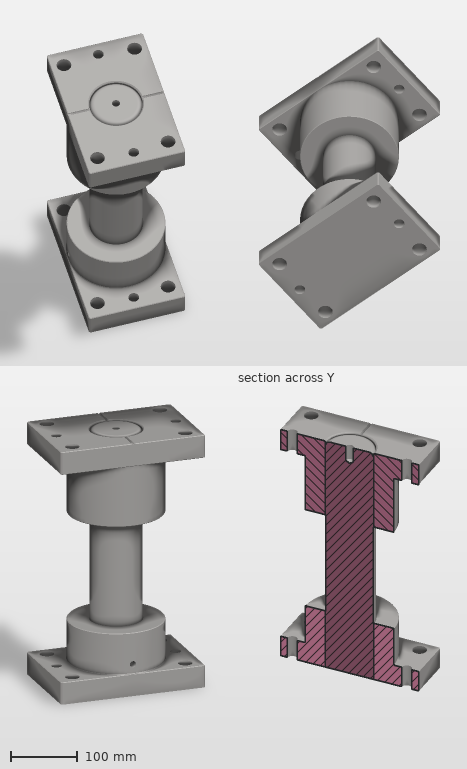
import cadquery as cq
import math

PLATE_LENGTH = 230.0
PLATE_WIDTH = 150.0
BASE_PLATE_THICKNESS = 35.0
TOP_PLATE_THICKNESS = 36.0
EDGE_CHAMFER = 1.0
CORNER_CHAMFER = 2.0
TOTAL_HEIGHT = 400.0
BEVEL_ANGLE = 45.0

BOLT_DIAMETER = 22.0
BOLT_SPACING_X = 180.0
BOLT_SPACING_Y = 110.0
DOWEL_DIAMETER = 16.0
DOWEL_SPACING = 190.0

BOSS_DIAMETER = 148.0
BASE_BOSS_HEIGHT = 65.0
BUSHING_BOSS_HEIGHT = 95.0
BOSS_CHAMFER = 1.0
FOOT_SIZE = 1.0

COLUMN_DIAMETER = 80.0
COLUMN_TOP_FILLET = 8.0
BUSHING_BORE_CHAMFER = 2.0
BASE_BORE_CHAMFER = 1.0
CENTRE_HOLE_DIAMETER = 12.0
CENTRE_HOLE_DEPTH = 25.0
DRILL_POINT_ANGLE = 118.0

SIDE_HOLE_DIAMETER = 10.0
SIDE_HOLE_HEIGHT = 50.0

GROOVE_WIDTH = 4.0


def drilled_plate(bottom_z, thickness, chamfered_faces):
    """Flange plate with chamfered edges, four bolt holes and two dowel holes."""
    plate = (
        cq.Workplane("XY", origin=(0, 0, bottom_z))
        .rect(PLATE_LENGTH, PLATE_WIDTH)
        .extrude(thickness)
        .edges("|Z")
        .chamfer(CORNER_CHAMFER)
        .faces(chamfered_faces)
        .edges()
        .chamfer(EDGE_CHAMFER)
    )
    bolt_holes = (
        cq.Workplane("XY", origin=(0, 0, bottom_z))
        .rect(BOLT_SPACING_X, BOLT_SPACING_Y, forConstruction=True)
        .vertices()
        .circle(BOLT_DIAMETER / 2)
        .extrude(thickness)
    )
    dowel_holes = (
        cq.Workplane("XY", origin=(0, 0, bottom_z))
        .pushPoints([(-DOWEL_SPACING / 2, 0), (DOWEL_SPACING / 2, 0)])
        .circle(DOWEL_DIAMETER / 2)
        .extrude(thickness)
    )
    return plate.cut(bolt_holes).cut(dowel_holes)


def cylinder(diameter, bottom_z, height):
    """Vertical cylinder on the column axis."""
    return cq.Workplane("XY", origin=(0, 0, bottom_z)).circle(diameter / 2).extrude(height)


def chamfer_bore_rim(body, top_z, size):
    """Bevel the mouth of the column bore in a body whose top face is at top_z."""
    cone = (
        cq.Workplane("XY", origin=(0, 0, top_z))
        .circle(COLUMN_DIAMETER / 2 + size)
        .extrude(-size, taper=BEVEL_ANGLE)
    )
    return body.cut(cone)


def make_base():
    """Bottom plate with a boss, a bore for the column and a cross hole at the front."""
    height = BASE_PLATE_THICKNESS + BASE_BOSS_HEIGHT
    boss = cylinder(BOSS_DIAMETER, BASE_PLATE_THICKNESS, BASE_BOSS_HEIGHT)
    boss = boss.faces(">Z").edges().chamfer(BOSS_CHAMFER)
    foot = (
        cq.Workplane("XY", origin=(0, 0, BASE_PLATE_THICKNESS))
        .circle(BOSS_DIAMETER / 2 + FOOT_SIZE)
        .extrude(FOOT_SIZE, taper=BEVEL_ANGLE)
    )
    foot_land = cylinder(
        BOSS_DIAMETER + 2 * FOOT_SIZE, BASE_PLATE_THICKNESS - EDGE_CHAMFER, EDGE_CHAMFER
    )
    side_hole = (
        cq.Workplane("XZ", origin=(0, 0, SIDE_HOLE_HEIGHT))
        .circle(SIDE_HOLE_DIAMETER / 2)
        .extrude(BOSS_DIAMETER / 2)
    )
    bore = cylinder(COLUMN_DIAMETER, 0, height)
    base = drilled_plate(0, BASE_PLATE_THICKNESS, ">Z").union(foot_land).union(foot).union(boss).cut(bore)
    base = chamfer_bore_rim(base, height, BASE_BORE_CHAMFER)
    return base.cut(side_hole)


def make_bushing():
    """Top plate with a hanging boss, a chamfered bore and a vent groove."""
    plate_z = TOTAL_HEIGHT - TOP_PLATE_THICKNESS
    boss_z = plate_z - BUSHING_BOSS_HEIGHT
    boss = cylinder(BOSS_DIAMETER, boss_z, BUSHING_BOSS_HEIGHT)
    boss = boss.faces("<Z").edges().chamfer(BOSS_CHAMFER)
    groove = (
        cq.Workplane("XZ", origin=(0, 0, TOTAL_HEIGHT))
        .circle(GROOVE_WIDTH / 2)
        .extrude(PLATE_WIDTH / 2, both=True)
    )
    bore = cylinder(COLUMN_DIAMETER, boss_z, TOTAL_HEIGHT - boss_z)
    bushing = drilled_plate(plate_z, TOP_PLATE_THICKNESS, "<Z or >Z").union(boss).cut(bore)
    bushing = chamfer_bore_rim(bushing, TOTAL_HEIGHT, BUSHING_BORE_CHAMFER)
    return bushing.cut(groove)


def make_column():
    """Guide column with a rounded top end and a blind centre hole."""
    column = cylinder(COLUMN_DIAMETER, 0, TOTAL_HEIGHT)
    column = column.faces(">Z").edges().fillet(COLUMN_TOP_FILLET)
    hole_bottom = TOTAL_HEIGHT - CENTRE_HOLE_DEPTH
    hole = cylinder(CENTRE_HOLE_DIAMETER, hole_bottom, CENTRE_HOLE_DEPTH)
    hole_radius = CENTRE_HOLE_DIAMETER / 2
    tip_depth = hole_radius / math.tan(math.radians(DRILL_POINT_ANGLE / 2))
    tip = cq.Solid.makeCone(
        hole_radius, 0, tip_depth, pnt=cq.Vector(0, 0, hole_bottom), dir=cq.Vector(0, 0, -1)
    )
    return column.cut(hole).cut(cq.Workplane(obj=tip))


base = make_base()
bushing = make_bushing()
column = make_column()

result = cq.Compound.makeCompound([base.val(), bushing.val(), column.val()])